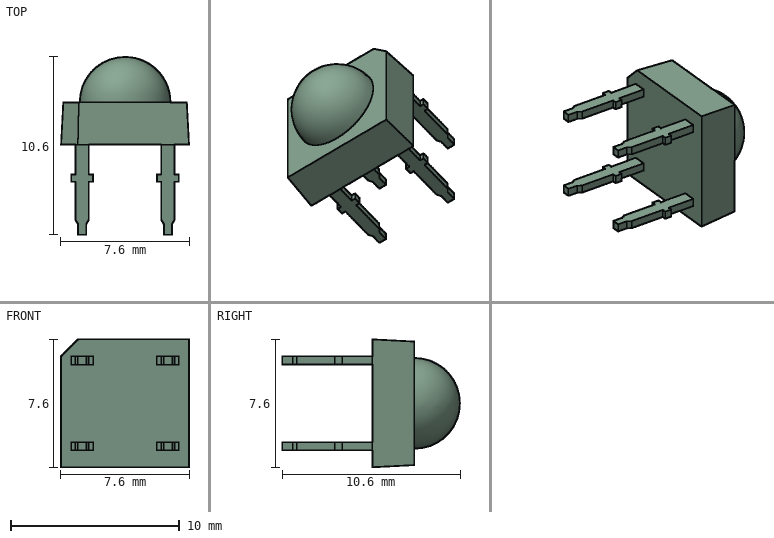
import cadquery as cq
import math


OVERALL_LENGTH = 10.55

HOUSING_SIDE = 7.6
HOUSING_DEPTH = 2.5
DRAFT_ANGLE = 3.0
CORNER_CUT = 1.0
DOME_RADIUS = 2.7

PIN_PITCH = 5.09
PIN_THICKNESS = 0.5
PIN_LENGTH = OVERALL_LENGTH - HOUSING_DEPTH - DOME_RADIUS
PIN_WIDTH = 0.8
TIP_WIDTH = PIN_THICKNESS
TIP_LENGTH = 0.64
TIP_TAPER_LENGTH = 0.24
STOP_WIDTH = 1.31
STOP_HEIGHT = 0.44
STOP_OFFSET = 1.77


def make_housing():
    """Drafted block with one cut corner and a hemispherical lens, as one solid."""
    half = HOUSING_SIDE / 2
    block = (
        cq.Workplane("ZX")
        .polyline([
            (-half, -half),
            (-half, half),
            (half, half),
            (half, -half + CORNER_CUT),
            (half - CORNER_CUT, -half),
        ])
        .close()
        .extrude(HOUSING_DEPTH, taper=DRAFT_ANGLE)
    )
    diagonal = DOME_RADIUS * math.sqrt(0.5)
    dome = (
        cq.Workplane("XY")
        .moveTo(0, HOUSING_DEPTH)
        .lineTo(DOME_RADIUS, HOUSING_DEPTH)
        .threePointArc((diagonal, HOUSING_DEPTH + diagonal), (0, HOUSING_DEPTH + DOME_RADIUS))
        .close()
        .revolve(360, (0, 0), (0, 1))
    )
    return block.union(dome)


def make_pin(x, z):
    """Flat pin with a stop bar and a stepped-down tip, centred on (x, z)."""
    half_width = PIN_WIDTH / 2
    half_tip = TIP_WIDTH / 2
    tip_start = -PIN_LENGTH + TIP_LENGTH
    taper_start = tip_start + TIP_TAPER_LENGTH
    shank = (
        cq.Workplane("XY")
        .polyline([
            (-half_width, 0),
            (-half_width, taper_start),
            (-half_tip, tip_start),
            (-half_tip, -PIN_LENGTH),
            (half_tip, -PIN_LENGTH),
            (half_tip, tip_start),
            (half_width, taper_start),
            (half_width, 0),
        ])
        .close()
        .extrude(PIN_THICKNESS / 2, both=True)
    )
    stop_centre = -STOP_OFFSET - STOP_HEIGHT / 2
    stop = cq.Workplane("XY").center(0, stop_centre).box(STOP_WIDTH, STOP_HEIGHT, PIN_THICKNESS)
    return shank.union(stop).translate((x, 0, z))


housing = make_housing()

pins = []
for x_side in (-1, 1):
    for z_side in (-1, 1):
        pins.append(make_pin(x_side * PIN_PITCH / 2, z_side * PIN_PITCH / 2))

result = cq.Compound.makeCompound([housing.val(), *[pin.val() for pin in pins]])